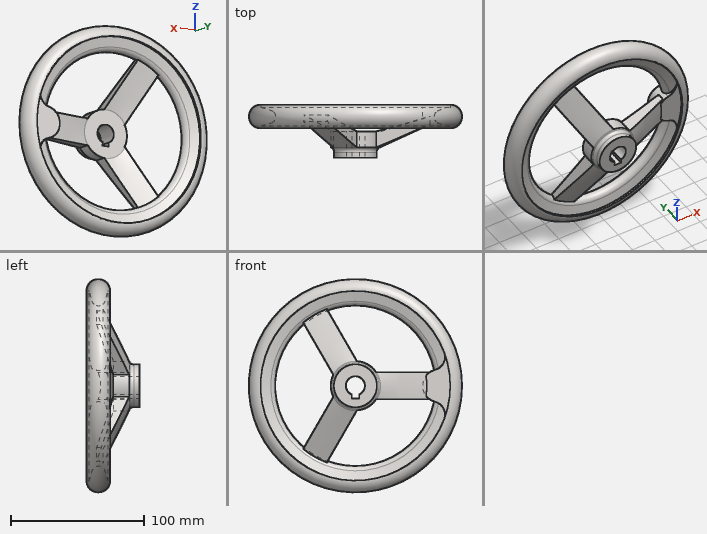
import cadquery as cq
import math


rim_outer_radius = 80.0
rim_half_depth = 9.0
grip_inner_radius = rim_outer_radius - rim_half_depth
rim_inner_radius = 60.0
web_half_depth = 7.0
nose_start_radius = 63.5
nose_half_depth = 4.8

overall_depth = 40.0
hub_front = rim_half_depth - overall_depth
hub_back = -11.0
hub_radius = 18.5
collar_radius = 16.2
collar_back = -26.7
flare_radius = 17.6
flare_back = -23.5
flare_sag = 0.4
bore_radius = 7.0
keyway_width = 5.5
keyway_depth = 9.5

spoke_count = 3
spoke_width = 20.5
spoke_end_radius = 65.6
spoke_front_slope = 0.458
spoke_back_slope = 0.3
spoke_front_at_hub = -23.0

boss_center = 62.5
boss_radius = 12.3
boss_blend_radius = 10.0


def revolve_about_y(sketch):
    return sketch.revolve(360, (0, 0, 0), (0, 1, 0))


def extrude_along_y(sketch, start, end):
    """Extrude an XZ sketch drawn at Y = 0 so that it spans start to end along Y."""
    return sketch.extrude(start - end).translate((0, start, 0))


def make_rim():
    section = (
        cq.Workplane("XY")
        .moveTo(grip_inner_radius, -rim_half_depth)
        .threePointArc((rim_outer_radius, 0), (grip_inner_radius, rim_half_depth))
        .lineTo(grip_inner_radius, web_half_depth)
        .lineTo(nose_start_radius, nose_half_depth)
        .threePointArc((rim_inner_radius, 0), (nose_start_radius, -nose_half_depth))
        .lineTo(grip_inner_radius, -web_half_depth)
        .close()
    )
    return revolve_about_y(section)


def make_hub():
    flare_middle = (
        (collar_radius + flare_radius) / 2 - flare_sag,
        (collar_back + flare_back) / 2 + flare_sag,
    )
    section = (
        cq.Workplane("XY")
        .moveTo(0, hub_front)
        .lineTo(collar_radius, hub_front)
        .lineTo(collar_radius, collar_back)
        .threePointArc(flare_middle, (flare_radius, flare_back))
        .lineTo(hub_radius, spoke_front_at_hub)
        .lineTo(hub_radius, hub_back)
        .lineTo(0, hub_back)
        .close()
    )
    return revolve_about_y(section)


def make_spokes():
    """Straight-sided bars trimmed to a cone in front and a shallower cone behind."""
    spoke_run = spoke_end_radius - hub_radius
    front_at_end = spoke_front_at_hub + spoke_front_slope * spoke_run
    back_at_end = hub_back + spoke_back_slope * spoke_run
    cone_section = (
        cq.Workplane("XY")
        .moveTo(0, spoke_front_at_hub)
        .lineTo(hub_radius, spoke_front_at_hub)
        .lineTo(spoke_end_radius, front_at_end)
        .lineTo(spoke_end_radius, back_at_end)
        .lineTo(hub_radius, hub_back)
        .lineTo(0, hub_back)
        .close()
    )
    bar = cq.Workplane("XY").box(
        spoke_end_radius, 2 * rim_outer_radius, spoke_width, centered=(False, True, True)
    )
    spoke = revolve_about_y(cone_section).intersect(bar)
    spokes = spoke
    for index in range(1, spoke_count):
        angle = index * 360 / spoke_count
        spokes = spokes.union(spoke.rotate((0, 0, 0), (0, 1, 0), angle))
    return spokes


def make_boss():
    """Round boss whose sides sweep into the rim through two concave blends."""
    blend_orbit = grip_inner_radius - boss_blend_radius
    center_gap = boss_radius + boss_blend_radius
    blend_x = (blend_orbit**2 + boss_center**2 - center_gap**2) / (2 * boss_center)
    blend_z = math.sqrt(blend_orbit**2 - blend_x**2)

    boss_share = boss_radius / center_gap
    boss_touch_x = boss_center + (blend_x - boss_center) * boss_share
    boss_touch_z = blend_z * boss_share
    rim_scale = grip_inner_radius / blend_orbit
    rim_touch_x = blend_x * rim_scale
    rim_touch_z = blend_z * rim_scale

    chord_x = (boss_touch_x + rim_touch_x) / 2 - blend_x
    chord_z = (boss_touch_z + rim_touch_z) / 2 - blend_z
    arc_scale = boss_blend_radius / math.hypot(chord_x, chord_z)
    blend_mid_x = blend_x + chord_x * arc_scale
    blend_mid_z = blend_z + chord_z * arc_scale

    outline = (
        cq.Workplane("XZ")
        .moveTo(rim_touch_x, rim_touch_z)
        .threePointArc((blend_mid_x, blend_mid_z), (boss_touch_x, boss_touch_z))
        .threePointArc((boss_center - boss_radius, 0), (boss_touch_x, -boss_touch_z))
        .threePointArc((blend_mid_x, -blend_mid_z), (rim_touch_x, -rim_touch_z))
        .threePointArc((grip_inner_radius, 0), (rim_touch_x, rim_touch_z))
        .close()
    )
    return extrude_along_y(outline, web_half_depth, -web_half_depth)


def make_keyed_bore():
    bore = extrude_along_y(cq.Workplane("XZ").circle(bore_radius), hub_back, hub_front)
    keyway_sketch = cq.Workplane("XZ").center(0, -keyway_depth / 2).rect(keyway_width, keyway_depth)
    return bore.union(extrude_along_y(keyway_sketch, hub_back, hub_front))


result = make_rim().union(make_boss()).union(make_spokes()).union(make_hub())
result = result.cut(make_keyed_bore())